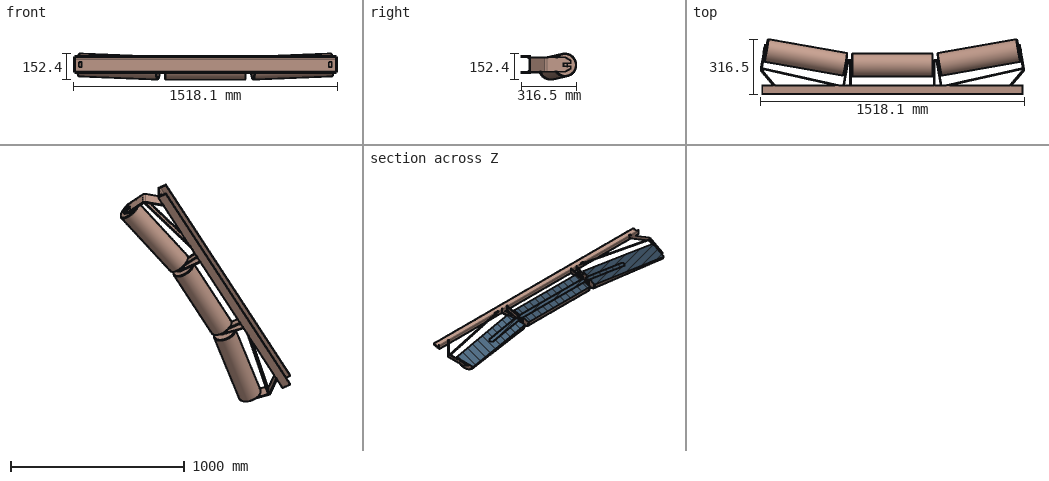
import cadquery as cq
import math


BEAM_LENGTH = 1500.0
BEAM_HEIGHT = 100.0
BEAM_DEPTH = 50.0
WEB_THICKNESS = 6.0
FLANGE_THICKNESS = 9.0
BEAM_ROOT_RADIUS = 9.0
MOUNT_SLOT_X = 720.0
MOUNT_SLOT_WIDTH = 18.0
MOUNT_SLOT_LENGTH = 32.0

ROLLER_RADIUS = 67.0
ROLLER_LENGTH = 466.0
ROLLER_CHAMFER = 5.0
CENTER_ROLLER_Y = 117.0
WING_ROLLER_X = 500.0
WING_ROLLER_Y = 161.0
WING_ROLLER_Z = -11.4
WING_ANGLE = 10
WING_RISE_ANGLE = 2.3
CENTER_ROLLER_Z = WING_ROLLER_Z - ROLLER_LENGTH / 2 * math.sin(math.radians(WING_RISE_ANGLE))

SHAFT_HEIGHT = 18.0
SHAFT_DEPTH = 23.0
ROLLER_GAP = 5.0

PLATE_THICKNESS = 8.0
SHEET_THICKNESS = 5.3
PLATE_WIDTH = 82.0
STRIP_WIDTH = 50.0
PLATE_CORNER_LENGTH = 30.0
PLATE_CORNER_WIDTH = 18.0
PLATE_BEND_RADIUS = 14.0
FOLD_BEND_RADIUS = 6.0
PLATE_TIP_Y = 234.0
PLATE_BEND_X = 756.0
PLATE_BEND_Y = 88.0
FOOT_X = 679.0
STRUT_TOP_Y = 97.0
STRUT_BOTTOM_X = 304.0
POST_TOP_Y = 137.0
LEG_BOTTOM_X = 281.0
FOLD_Y = 144.0

SHAFT_LENGTH = ROLLER_LENGTH + 2 * (ROLLER_GAP + PLATE_THICKNESS)
POST_X = ROLLER_LENGTH / 2 + ROLLER_GAP + PLATE_THICKNESS / 2
WELD_Y = -WEB_THICKNESS / 2
LEAN = math.tan(math.radians(WING_ANGLE))
SIDES = (-1, 1)


def place_center(body):
    """Move a body built along X at the origin onto the center roller axis."""
    return body.translate((0, CENTER_ROLLER_Y, CENTER_ROLLER_Z))


def place_wing(body, side):
    """Move a body built along X at the origin onto the wing roller axis of one side."""
    risen = body.rotate((0, 0, 0), (0, 1, 0), -side * WING_RISE_ANGLE)
    swung = risen.rotate((0, 0, 0), (0, 0, 1), side * WING_ANGLE)
    return swung.translate((side * WING_ROLLER_X, WING_ROLLER_Y, WING_ROLLER_Z))


def offset_path(path, distance):
    """Shift an open polyline to its left by a distance, keeping mitred corners."""
    angles = [math.atan2(b[1] - a[1], b[0] - a[0]) for a, b in zip(path, path[1:])]
    before = [angles[0]] + angles
    after = angles + [angles[-1]]
    shifted = []
    for (x, y), a, b in zip(path, before, after):
        reach = distance / math.cos((b - a) / 2)
        normal = (a + b) / 2 + math.pi / 2
        shifted.append((x + reach * math.cos(normal), y + reach * math.sin(normal)))
    return shifted


def bent_strip(path, thickness, width, bend_radius=None):
    """Strip centered on Z = 0 that follows a center line in XY, rounded at any bends."""
    left = offset_path(path, thickness / 2)
    right = offset_path(path, -thickness / 2)
    strip = (
        cq.Workplane("XY")
        .polyline(left + right[::-1])
        .close()
        .extrude(width)
        .translate((0, 0, -width / 2))
    )
    for i in range(1, len(path) - 1):
        (ax, ay), (bx, by), (cx, cy) = path[i - 1:i + 2]
        turns_left = (bx - ax) * (cy - by) > (by - ay) * (cx - bx)
        inside, outside = (left[i], right[i]) if turns_left else (right[i], left[i])
        for corner, radius in ((inside, bend_radius - thickness / 2), (outside, bend_radius + thickness / 2)):
            edge = cq.selectors.NearestToPointSelector((*corner, 0))
            strip = strip.edges("|Z").edges(edge).fillet(radius)
    return strip


def make_beam():
    """Channel with its web on the bracket side and a mounting slot near each end."""
    beam = cq.Workplane("XY").box(BEAM_LENGTH, BEAM_DEPTH, BEAM_HEIGHT).translate((0, -BEAM_DEPTH / 2, 0))
    trough_height = BEAM_HEIGHT - 2 * FLANGE_THICKNESS
    trough = (
        cq.Workplane("XY")
        .box(BEAM_LENGTH, BEAM_DEPTH, trough_height)
        .edges("|X and >Y")
        .fillet(BEAM_ROOT_RADIUS)
        .translate((0, -BEAM_DEPTH / 2 - WEB_THICKNESS, 0))
    )
    slots = (
        cq.Workplane("XZ")
        .pushPoints([(side * MOUNT_SLOT_X, 0) for side in SIDES])
        .slot2D(MOUNT_SLOT_LENGTH, MOUNT_SLOT_WIDTH, 90)
        .extrude(BEAM_DEPTH)
    )
    return beam.cut(trough).cut(slots)


def make_outer_plate():
    """Right-hand end plate with a tapered tip, bent inward to its foot on the beam."""
    tip_x = PLATE_BEND_X - (PLATE_TIP_Y - PLATE_BEND_Y) * LEAN
    path = [(tip_x, PLATE_TIP_Y), (PLATE_BEND_X, PLATE_BEND_Y), (FOOT_X, WELD_Y)]
    plate = bent_strip(path, PLATE_THICKNESS, PLATE_WIDTH, PLATE_BEND_RADIUS)
    half_width = PLATE_WIDTH / 2
    for z_side in SIDES:
        corner = (
            cq.Workplane("YZ")
            .polyline([
                (PLATE_TIP_Y - PLATE_CORNER_LENGTH, z_side * half_width),
                (PLATE_TIP_Y, z_side * (half_width - PLATE_CORNER_WIDTH)),
                (PLATE_TIP_Y + PLATE_THICKNESS, z_side * (half_width - PLATE_CORNER_WIDTH)),
                (PLATE_TIP_Y + PLATE_THICKNESS, z_side * half_width),
            ])
            .close()
            .extrude(BEAM_LENGTH)
        )
        plate = plate.cut(corner)
    return plate


def make_strut():
    """Right-hand sloping strip from the beam up to the bend of the end plate."""
    path = [(STRUT_BOTTOM_X, WELD_Y), (PLATE_BEND_X - PLATE_THICKNESS / 2, STRUT_TOP_Y)]
    return bent_strip(path, SHEET_THICKNESS, STRIP_WIDTH)


def make_post():
    """Right-hand upright plate beside the center roller."""
    post = bent_strip([(POST_X, WELD_Y), (POST_X, POST_TOP_Y)], PLATE_THICKNESS, STRIP_WIDTH)
    return post.translate((0, 0, CENTER_ROLLER_Z))


def make_folded_leg():
    """Right-hand sheet folded over from the post and leaning along the wing roller's inner end."""
    path = [
        (POST_X, POST_TOP_Y - PLATE_THICKNESS),
        (POST_X, FOLD_Y),
        (LEG_BOTTOM_X - (FOLD_Y - WELD_Y) * LEAN, FOLD_Y),
        (LEG_BOTTOM_X, WELD_Y),
    ]
    leg = bent_strip(path, SHEET_THICKNESS, STRIP_WIDTH, FOLD_BEND_RADIUS)
    return leg.translate((0, 0, CENTER_ROLLER_Z))


def make_shaft_slot():
    """Cutter shaped like the shaft but open away from the beam."""
    slot_depth = SHAFT_DEPTH + ROLLER_RADIUS
    slot = cq.Workplane("XY").box(SHAFT_LENGTH + 2 * PLATE_THICKNESS, slot_depth, SHAFT_HEIGHT)
    return slot.translate((0, (slot_depth - SHAFT_DEPTH) / 2, 0))


def make_frame():
    """Beam and both sets of brackets, welded into one body and slotted for the shafts."""
    frame = make_beam()
    bracket_parts = (make_outer_plate(), make_strut(), make_post(), make_folded_leg())
    for bracket_part in bracket_parts:
        frame = frame.union(bracket_part).union(bracket_part.mirror("YZ"))
    frame = frame.cut(place_center(make_shaft_slot()))
    for side in SIDES:
        frame = frame.cut(place_wing(make_shaft_slot(), side))
    return frame


def make_shaft():
    """Straight rectangular bar along X."""
    return cq.Workplane("XY").box(SHAFT_LENGTH, SHAFT_DEPTH, SHAFT_HEIGHT)


def make_roller():
    """Chamfered cylinder along X with a bore that fits the shaft."""
    roller = (
        cq.Workplane("YZ")
        .circle(ROLLER_RADIUS)
        .extrude(ROLLER_LENGTH)
        .translate((-ROLLER_LENGTH / 2, 0, 0))
        .faces("<X or >X")
        .chamfer(ROLLER_CHAMFER)
    )
    return roller.cut(make_shaft())


frame = make_frame()
rollers = [place_center(make_roller())]
shafts = [place_center(make_shaft())]
for side in SIDES:
    rollers.append(place_wing(make_roller(), side))
    shafts.append(place_wing(make_shaft(), side))

result = cq.Compound.makeCompound([body.val() for body in (frame, *rollers, *shafts)])